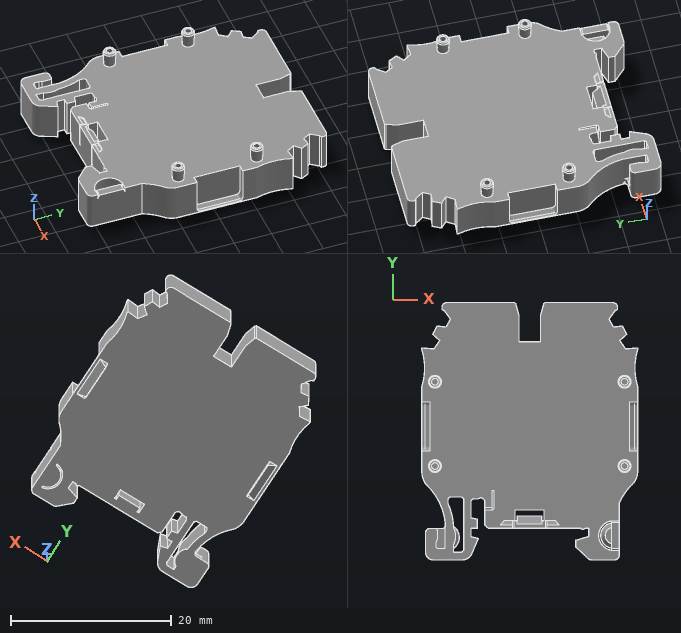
import cadquery as cq
import math

WIDTH = 27.0
LENGTH = 32.2
THICKNESS = 5.0
HALF_WIDTH = WIDTH / 2
PIN_HEIGHT = 2.03
CATCH_DROP = 0.58
RAIL_EDGE_Y = 3.95
CUT_MARGIN = 0.32

HEAD_X = 10.98
SHOULDER_TEETH = [
    (-HEAD_X, 31.3), (-10.65, 31.15), (-9.92, 30.1), (-10.45, 29.15), (-11.6, 29.27),
    (-12.15, 28.2), (-11.27, 27.45), (-11.98, 26.4), (-HALF_WIDTH, 26.53),
]
HEAD_RADIUS = 0.6
GRIP_TOP_Y = 26.3
GRIP_BOTTOM_Y = 21.67
GRIP_DEPTH = 0.35

NOTCH_HALF_WIDTH = 1.32
NOTCH_MOUTH_HALF_WIDTH = 1.9
NOTCH_FLOOR_Y = 27.3
NOTCH_FLARE_Y = 30.55
NOTCH_LIP = 0.15

LEFT_FOOT_X = -13.05
ARM_X = -10.55
ARM_ROOT_Y = 4.55

RIGHT_FOOT_X = 11.2
RIGHT_FOOT_RADIUS = 0.65

ARM_SLOT_FLOOR_Z = 1.03

PIN_X = 11.85
PIN_YS = (11.75, 22.28)
PIN_BASE_RADIUS = 0.75
PIN_TOP_RADIUS = 0.8
PIN_TIP_RADIUS = 0.68
PIN_TIP_HEIGHT = 0.23
PIN_BORE_RADIUS = 0.42

RECESS_Y = 16.7
RECESS_WIDTH = 6.12
RECESS_DEPTH = 1.03
RECESS_LIP_DEPTH = 0.4
RECESS_LIP_Z = 0.15
RECESS_BACK_Z = 0.42
RECESS_RADIUS = 0.55
CATCH_OUTER_INSET = 0.42
CATCH_INNER_INSET = 1.5
CATCH_WIDTH = 5.4
CATCH_END_SLOPE = 0.42

BOSS_X = 10.45
LEFT_BOSS_Y = 2.83
RIGHT_BOSS_Y = 3.05
LEFT_BOSS_RADIUS = 1.67
LEFT_BOSS_TOP_RADIUS = 1.1
RIGHT_BOSS_RADIUS = 1.6
RIGHT_BOSS_TOP_RADIUS = 1.03
RIGHT_BOSS_BEVEL_Z = 2.58
RIGHT_BOSS_HEIGHT = 3.7

POCKET_RADIUS = 1.85
POCKET_WALL_X = 10.2
POCKET_WALL_DROP = 0.15
POCKET_END_GAP = 0.23
POCKET_END_DEPTH = 0.65

WINDOW_X = -0.03
WINDOW_WIDTH = 3.57
WINDOW_BOTTOM_Y = 4.93
WINDOW_TOP_Y = 6.25
RAMP_WIDTH = 3.1
RAMP_FOOT_Y = 5.55
RAMP_HEAD_Y = 4.5
RAMP_DROP = 1.05
SLIT_OFFSET = 2.05
SLIT_WIDTH = 0.13
SLIT_DEPTH = 3.2
HOLLOW_LENGTH = 1.6
HOLLOW_CORNER = 0.48
HOLLOW_FRONT_Y = 4.38
HOLLOW_DEPTH = 0.23

HOOK_GAP_X = -5.65
GROOVE_LEFT_X = -4.73
GROOVE_RIGHT_X = -4.48
GROOVE_BOTTOM_Y = 6.25
GROOVE_TOP_Y = 8.7
GROOVE_BAND = 0.32
GROOVE_DEPTH = 3.2
GROOVE_CHAMFER = 0.2


def box(x_range, y_range, z_range):
    """Block between the given limits along each axis."""
    sizes = [limits[1] - limits[0] for limits in (x_range, y_range, z_range)]
    corner = (x_range[0], y_range[0], z_range[0])
    return cq.Workplane("XY").box(*sizes, centered=False).translate(corner)


def cone(x, y, bottom_z, bottom_radius, top_z, top_radius):
    """Upright frustum."""
    solid = cq.Solid.makeCone(bottom_radius, top_radius, top_z - bottom_z, pnt=cq.Vector(x, y, bottom_z))
    return cq.Workplane(solid)


def prism_along_x(yz_points, x_range):
    """Profile in the YZ plane swept between two X positions."""
    start, end = x_range
    return cq.Workplane("YZ").workplane(offset=start).polyline(yz_points).close().extrude(end - start)


def mirror_x(shape):
    return shape.mirror("YZ")


def flip_points(points):
    """Points of the left side mirrored to the right, in reverse order."""
    return [(-x, y) for x, y in reversed(points)]


def housing():
    """Plate with the whole outer outline, drawn counter-clockwise from the top left corner."""
    diagonal = HEAD_RADIUS * (1 - math.sqrt(0.5))
    head_corner = (HEAD_X - diagonal, LENGTH - diagonal)
    head_flat_x = HEAD_X - HEAD_RADIUS
    head_side_y = LENGTH - HEAD_RADIUS
    grip_middle = (HALF_WIDTH - GRIP_DEPTH, (GRIP_TOP_Y + GRIP_BOTTOM_Y) / 2)
    foot_diagonal = RIGHT_FOOT_RADIUS * (1 - math.sqrt(0.5))
    notch_lip = (NOTCH_MOUTH_HALF_WIDTH - NOTCH_LIP, LENGTH - NOTCH_LIP)
    notch = [(-NOTCH_MOUTH_HALF_WIDTH, LENGTH), (-notch_lip[0], notch_lip[1]),
             (-NOTCH_HALF_WIDTH, NOTCH_FLARE_Y), (-NOTCH_HALF_WIDTH, NOTCH_FLOOR_Y)]

    outline = cq.Workplane("XY").moveTo(-head_flat_x, LENGTH)
    outline = outline.threePointArc((-head_corner[0], head_corner[1]), (-HEAD_X, head_side_y))
    for point in SHOULDER_TEETH:
        outline = outline.lineTo(*point)
    outline = (
        outline.lineTo(-HALF_WIDTH, GRIP_TOP_Y)
        .threePointArc((-grip_middle[0], grip_middle[1]), (-HALF_WIDTH, GRIP_BOTTOM_Y))
        .lineTo(-HALF_WIDTH, 10.98)
        .threePointArc((-13.33, 10.1), (-13.0, 9.5))
        .threePointArc((-11.5, 7.57), (ARM_X, ARM_ROOT_Y))
        .threePointArc((-10.63, 4.12), (-10.95, RAIL_EDGE_Y))
        .lineTo(-12.5, RAIL_EDGE_Y)
        .threePointArc((-12.88, 3.8), (LEFT_FOOT_X, 3.4))
        .lineTo(LEFT_FOOT_X, 1.03)
        .threePointArc((-12.75, 0.3), (-12.05, 0))
        .lineTo(-8.5, 0)
        .threePointArc((-7.75, 0.2), (-7.28, 0.68))
        .lineTo(-6.4, 2.7)
        .lineTo(-7.35, 2.93)
        .lineTo(-7.35, RAIL_EDGE_Y)
        .lineTo(-6.55, RAIL_EDGE_Y)
        .lineTo(-6.55, 5.12)
        .lineTo(-7.35, 5.28)
        .lineTo(-7.35, 7.28)
        .threePointArc((-7.25, 7.55), (-6.95, 7.63))
        .lineTo(-6.5, 7.63)
        .lineTo(-6.15, 7.75)
        .threePointArc((-5.8, 7.63), (HOOK_GAP_X, 7.35))
        .lineTo(HOOK_GAP_X, 4.38)
        .lineTo(-5.2, RAIL_EDGE_Y)
        .lineTo(6.35, RAIL_EDGE_Y)
        .threePointArc((6.63, 3.83), (6.92, RAIL_EDGE_Y))
        .lineTo(7.37, RAIL_EDGE_Y)
        .lineTo(7.37, 2.95)
        .lineTo(5.73, 2.48)
        .lineTo(5.73, 1.65)
        .lineTo(7.2, 0.25)
        .threePointArc((7.47, 0.05), (7.8, 0))
        .lineTo(RIGHT_FOOT_X - RIGHT_FOOT_RADIUS, 0)
        .threePointArc((RIGHT_FOOT_X - foot_diagonal, foot_diagonal), (RIGHT_FOOT_X, RIGHT_FOOT_RADIUS))
        .lineTo(RIGHT_FOOT_X, 7.15)
        .threePointArc((12.0, 8.53), (13.0, 9.65))
        .threePointArc((13.33, 10.2), (HALF_WIDTH, 10.98))
        .lineTo(HALF_WIDTH, GRIP_BOTTOM_Y)
        .threePointArc(grip_middle, (HALF_WIDTH, GRIP_TOP_Y))
    )
    for point in flip_points(SHOULDER_TEETH):
        outline = outline.lineTo(*point)
    outline = outline.lineTo(HEAD_X, head_side_y).threePointArc(head_corner, (head_flat_x, LENGTH))
    for point in flip_points(notch[::-1]) + notch[::-1]:
        outline = outline.lineTo(*point)
    return outline.close().extrude(THICKNESS)


def spring_slot():
    """Opening right through the plate on the inner side of the spring arm."""
    return (
        cq.Workplane("XY")
        .moveTo(-9.92, 7.85)
        .threePointArc((-10.1, 7.75), (-10.2, 7.55))
        .lineTo(-10.2, 7.1)
        .threePointArc((-9.7, 5.55), (-9.5, 4.02))
        .threePointArc((-9.27, 3.0), (-9.5, 1.95))
        .lineTo(-9.5, 1.0)
        .lineTo(-8.5, 1.0)
        .lineTo(-8.28, 1.22)
        .lineTo(-8.28, 7.63)
        .lineTo(-8.5, 7.85)
        .close()
        .extrude(THICKNESS)
    )


def arm_slot():
    """Slot on the outer side of the spring arm, open at its upper end."""
    return (
        cq.Workplane("XY", origin=(0, 0, ARM_SLOT_FLOOR_Z))
        .moveTo(ARM_X, ARM_ROOT_Y)
        .lineTo(-11.85, ARM_ROOT_Y)
        .lineTo(-11.85, RAIL_EDGE_Y)
        .threePointArc((-11.65, 3.9), (-11.55, 3.67))
        .lineTo(-11.55, 2.58)
        .lineTo(-11.7, 2.25)
        .lineTo(-11.7, 1.6)
        .lineTo(-11.53, 1.45)
        .lineTo(-10.65, 1.45)
        .lineTo(ARM_X, 1.6)
        .close()
        .extrude(THICKNESS)
    )


def foot_pocket():
    """D-shaped opening of the right foot, with the sunken wall that closes its straight side."""
    y_range = (RIGHT_BOSS_Y - POCKET_RADIUS, RIGHT_BOSS_Y + POCKET_RADIUS)
    outer_x = RIGHT_FOOT_X + CUT_MARGIN
    round_part = cq.Workplane("XY").center(BOSS_X, RIGHT_BOSS_Y).circle(POCKET_RADIUS).extrude(THICKNESS)
    opening = round_part.intersect(box((0, POCKET_WALL_X), y_range, (0, THICKNESS)))
    opening = opening.union(
        box((POCKET_WALL_X, outer_x), y_range, (THICKNESS - POCKET_WALL_DROP, THICKNESS))
    )
    for end_y, inward in ((y_range[0], 1), (y_range[1], -1)):
        profile = [(end_y, THICKNESS), (end_y, THICKNESS - POCKET_END_DEPTH),
                   (end_y + inward * POCKET_END_GAP, THICKNESS - POCKET_WALL_DROP),
                   (end_y + inward * POCKET_END_GAP, THICKNESS)]
        opening = opening.union(prism_along_x(profile, (POCKET_WALL_X, outer_x)))
    return opening


def window():
    """Opening through the plate; its rail side keeps a ramped tongue."""
    x_range = (WINDOW_X - WINDOW_WIDTH / 2, WINDOW_X + WINDOW_WIDTH / 2)
    tongue_range = (WINDOW_X - RAMP_WIDTH / 2, WINDOW_X + RAMP_WIDTH / 2)
    opening = box(x_range, (WINDOW_BOTTOM_Y, WINDOW_TOP_Y), (0, THICKNESS))
    opening = opening.cut(box(tongue_range, (RAMP_HEAD_Y, RAMP_FOOT_Y), (0, THICKNESS)))
    above_ramp = [(RAMP_HEAD_Y, THICKNESS), (RAMP_FOOT_Y, THICKNESS - RAMP_DROP), (RAMP_FOOT_Y, THICKNESS)]
    return opening.union(prism_along_x(above_ramp, tongue_range))


def slit_with_hollow(side):
    """Thin slit through the rail edge and the sloped hollow next to it, on the given side of X = 0."""
    slit_x = side * SLIT_OFFSET
    slit = box(
        (slit_x - SLIT_WIDTH / 2, slit_x + SLIT_WIDTH / 2),
        (RAIL_EDGE_Y - CUT_MARGIN, WINDOW_BOTTOM_Y),
        (THICKNESS - SLIT_DEPTH, THICKNESS),
    )
    far_x = slit_x + side * HOLLOW_LENGTH
    plan = [(slit_x, HOLLOW_FRONT_Y), (far_x, HOLLOW_FRONT_Y),
            (far_x - side * HOLLOW_CORNER, WINDOW_BOTTOM_Y), (slit_x, WINDOW_BOTTOM_Y)]
    hollow = cq.Workplane("XY").polyline(plan).close().extrude(THICKNESS)
    slope = [(HOLLOW_FRONT_Y, THICKNESS), (WINDOW_BOTTOM_Y, THICKNESS - HOLLOW_DEPTH),
             (WINDOW_BOTTOM_Y, THICKNESS)]
    return slit.union(hollow.intersect(prism_along_x(slope, sorted((slit_x, far_x)))))


def l_groove():
    """Upright narrow groove, joined to the rail hook gap by a V-shaped leg."""
    floor_z = THICKNESS - GROOVE_DEPTH
    upright = box((GROOVE_LEFT_X, GROOVE_RIGHT_X), (GROOVE_BOTTOM_Y, GROOVE_TOP_Y), (floor_z, THICKNESS))
    upright = upright.edges("|Z and >X and <Y").chamfer(GROOVE_CHAMFER)
    leg_top_y = GROOVE_BOTTOM_Y + GROOVE_BAND
    leg = [(GROOVE_BOTTOM_Y, THICKNESS), (GROOVE_BOTTOM_Y, floor_z), (leg_top_y, THICKNESS)]
    return upright.union(prism_along_x(leg, (HOOK_GAP_X - CUT_MARGIN, GROOVE_LEFT_X)))


def recess_section(x, floor_z):
    """Recess outline at one X position, with rounded lower corners; returns a wire."""
    half = RECESS_WIDTH / 2
    diagonal = RECESS_RADIUS * (1 - math.sqrt(0.5))
    corner_z = floor_z + RECESS_RADIUS
    section = (
        cq.Workplane("YZ", origin=(x, RECESS_Y, 0))
        .moveTo(-half, THICKNESS)
        .lineTo(-half, corner_z)
        .threePointArc((-half + diagonal, floor_z + diagonal), (-half + RECESS_RADIUS, floor_z))
        .lineTo(half - RECESS_RADIUS, floor_z)
        .threePointArc((half - diagonal, floor_z + diagonal), (half, corner_z))
        .lineTo(half, THICKNESS)
        .close()
    )
    return section.wire().val()


def side_recess():
    """Left side recess: a level lip, then a floor that rises inward."""
    lip_x = -HALF_WIDTH + RECESS_LIP_DEPTH
    outer = recess_section(-HALF_WIDTH - CUT_MARGIN, RECESS_LIP_Z)
    middle = recess_section(lip_x, RECESS_LIP_Z)
    inner = recess_section(-HALF_WIDTH + RECESS_DEPTH, RECESS_BACK_Z)
    lip = cq.Workplane(cq.Solid.makeLoft([outer, middle], True))
    back = cq.Workplane(cq.Solid.makeLoft([middle, inner], True))
    return lip.union(back)


def catch():
    """Left catch: a wedge below the plate, with sloped ends."""
    outer_x = -HALF_WIDTH + CATCH_OUTER_INSET
    inner_x = -HALF_WIDTH + CATCH_INNER_INSET
    half = CATCH_WIDTH / 2
    wedge = (
        cq.Workplane("XZ", origin=(0, RECESS_Y + half, 0))
        .polyline([(outer_x, 0), (inner_x, -CATCH_DROP), (inner_x, 0)])
        .close()
        .extrude(CATCH_WIDTH)
    )
    front = [(RECESS_Y - half, 0), (RECESS_Y - half + CATCH_END_SLOPE, -CATCH_DROP),
             (RECESS_Y + half - CATCH_END_SLOPE, -CATCH_DROP), (RECESS_Y + half, 0)]
    return wedge.intersect(prism_along_x(front, (outer_x, inner_x)))


def pin(x, y):
    """Slightly flared hollow pin with a bevelled tip."""
    top_z = THICKNESS + PIN_HEIGHT
    tip_z = top_z - PIN_TIP_HEIGHT
    shank = cone(x, y, THICKNESS, PIN_BASE_RADIUS, tip_z, PIN_TOP_RADIUS)
    tip = cone(x, y, tip_z, PIN_TOP_RADIUS, top_z, PIN_TIP_RADIUS)
    bore = cq.Workplane("XY", origin=(x, y, THICKNESS)).circle(PIN_BORE_RADIUS).extrude(PIN_HEIGHT)
    return shank.union(tip).cut(bore)


def left_boss():
    """Low cone beside the spring arm, reaching into the spring slot."""
    boss = cone(-BOSS_X, LEFT_BOSS_Y, 0, LEFT_BOSS_RADIUS, ARM_SLOT_FLOOR_Z, LEFT_BOSS_TOP_RADIUS)
    return boss.intersect(box((ARM_X, 0), (0, LENGTH), (0, THICKNESS)))


def right_boss():
    """Bevelled round boss standing in the pocket of the right foot, trimmed at the foot's outer face."""
    boss = cone(
        BOSS_X, RIGHT_BOSS_Y, RIGHT_BOSS_BEVEL_Z, RIGHT_BOSS_RADIUS, RIGHT_BOSS_HEIGHT, RIGHT_BOSS_TOP_RADIUS
    )
    base = cq.Workplane("XY").center(BOSS_X, RIGHT_BOSS_Y).circle(RIGHT_BOSS_RADIUS)
    boss = boss.union(base.extrude(RIGHT_BOSS_BEVEL_Z))
    return boss.intersect(box((0, RIGHT_FOOT_X), (0, LENGTH), (0, THICKNESS)))


body = housing()
for cutter in (spring_slot(), arm_slot(), foot_pocket(), window(), l_groove()):
    body = body.cut(cutter)
for window_side in (-1, 1):
    body = body.cut(slit_with_hollow(window_side))

left_recess = side_recess()
left_catch = catch()
body = body.cut(left_recess).cut(mirror_x(left_recess))
body = body.union(left_catch).union(mirror_x(left_catch))

body = body.union(left_boss()).union(right_boss())

for pin_x in (-PIN_X, PIN_X):
    for pin_y in PIN_YS:
        body = body.union(pin(pin_x, pin_y))

result = body